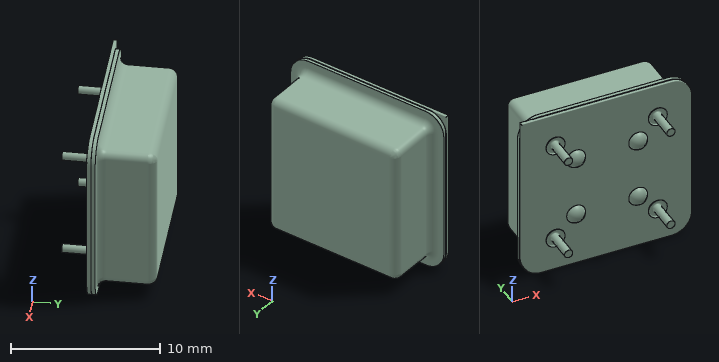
import cadquery as cq


flange_size = 12.7
flange_radius = 1.5
plate_thickness = 0.3
plate_edge_radius = 0.05
flange_back = 0.6

can_size = 10.7
rim_width = (flange_size - can_size) / 2
can_radius = flange_radius - rim_width
can_back = 4.61
can_top_radius = 0.6
can_root_radius = 0.6
root_top = flange_back + can_root_radius

pin_radius = 0.3
pin_length = 2.0
pin_spacing = 7.62
seal_radius = 0.7
seal_depth = 0.1

bump_radius = 0.7
bump_height = 0.5
bump_sphere_radius = (bump_radius**2 + bump_height**2) / (2 * bump_height)
bump_center_y = bump_sphere_radius - bump_height
bump_spacing_x = 4.62
bump_spacing_z = 4.57
bump_shift_x = 0.03


def slab(size, start, end):
    """Square slab centred on the Y axis, from Y = start to Y = end."""
    depth = end - start
    return cq.Workplane("XY").box(size, depth, size).translate((0, start + depth / 2, 0))


def cover():
    """Can and its flange, with a rounded top and a concave root."""
    flange = slab(flange_size, plate_thickness, flange_back).edges("|Y").fillet(flange_radius)
    can = slab(can_size, plate_thickness, can_back).edges("|Y").fillet(can_radius)
    can = can.faces(">Y").edges().fillet(can_top_radius)
    reach = can_size / 2 + rim_width / 2
    flange_middle = (plate_thickness + flange_back) / 2
    root = cq.selectors.BoxSelector(
        (-reach, flange_middle, -reach), (reach, root_top, reach), boundingbox=True
    )
    return flange.union(can).edges(root).fillet(can_root_radius)


def base_plate():
    """Base plate with softened face edges; the sharp -X, +Z corner marks the first pin."""
    plate = slab(flange_size, 0, plate_thickness)
    plate = plate.edges("|Y").edges(">X or <Z").fillet(flange_radius)
    return plate.faces("<Y or >Y").edges().fillet(plate_edge_radius)


def seal_recess():
    """Ring-shaped recess whose flat floor curves up to the pin and to the plate face."""
    inner_floor = pin_radius + seal_depth
    outer_floor = seal_radius - seal_depth
    return (
        cq.Workplane("XY")
        .moveTo(pin_radius, 0)
        .radiusArc((inner_floor, seal_depth), seal_depth)
        .lineTo(outer_floor, seal_depth)
        .radiusArc((seal_radius, 0), seal_depth)
        .close()
        .revolve(360, (0, 0, 0), (0, 1, 0))
    )


def pin():
    """Straight round pin rooted in the base plate and standing off its face."""
    start = cq.Workplane("XZ", origin=(0, plate_thickness, 0))
    return start.circle(pin_radius).extrude(plate_thickness + pin_length)


def bump():
    """Spherical standoff sunk into the base plate."""
    return cq.Workplane("XY").sphere(bump_sphere_radius).translate((0, bump_center_y, 0))


result = cover().union(base_plate())
for side_x in (-0.5, 0.5):
    for side_z in (-0.5, 0.5):
        pin_place = (side_x * pin_spacing, 0, side_z * pin_spacing)
        bump_place = (bump_shift_x + side_x * bump_spacing_x, 0, side_z * bump_spacing_z)
        result = result.cut(seal_recess().translate(pin_place))
        result = result.union(pin().translate(pin_place))
        result = result.union(bump().translate(bump_place))